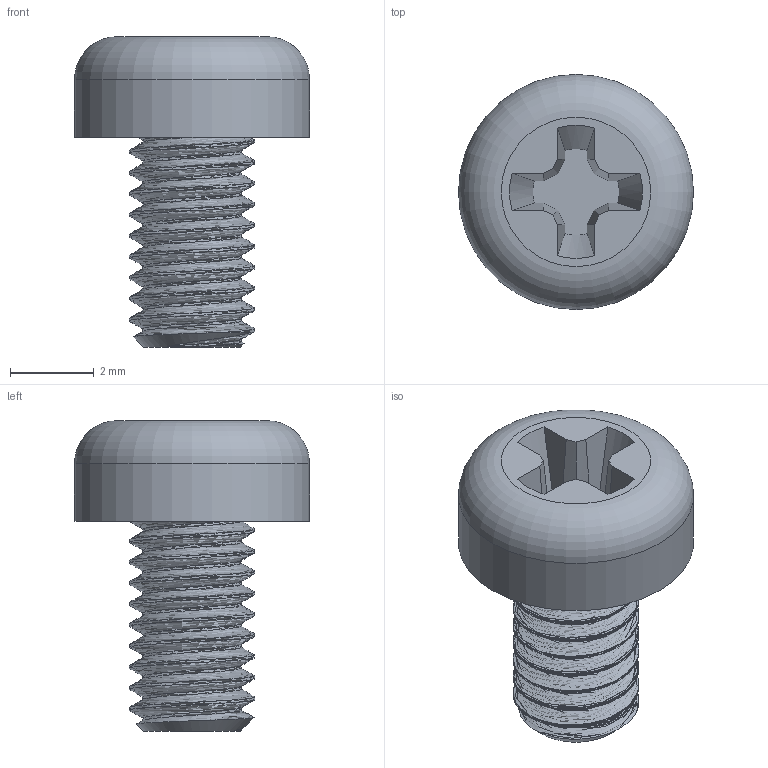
import cadquery as cq
import math

HEAD_DIAMETER = 5.6
HEAD_HEIGHT = 2.4
HEAD_ROUNDING = 1.02

THREAD_DIAMETER = 3.0
SHANK_LENGTH = 5.0
PITCH = 0.5
FLANK_ANGLE = 60.0
TIP_RADIUS = 1.15
CREST_HEIGHT = 0.66

RECESS_DEPTH = 2.0
MOUTH_RADIUS = 1.585
FLOOR_RADIUS = 1.03
MOUTH_HALF_WIDTH = 0.445
FLOOR_HALF_WIDTH = 0.267
MOUTH_CORNER = 0.548
FLOOR_CORNER = 0.43
ARM_ROOT = 0.775
ARM_COUNT = 4

FLAT_SHARE = 1 / 8
FLANK_SHARE = 1 / 2 - FLAT_SHARE
FLANK_SLOPE = math.tan(math.radians(FLANK_ANGLE / 2))
THREAD_DEPTH = FLANK_SHARE * PITCH / FLANK_SLOPE
CREST_RADIUS = THREAD_DIAMETER / 2
ROOT_RADIUS = CREST_RADIUS - THREAD_DEPTH
FLANK_SPLINE_STEPS = 8


def polar(radius, degrees):
    angle = math.radians(degrees)
    return radius * math.cos(angle), radius * math.sin(angle)


def flank_spiral(start_radius, end_radius, start_angle, end_angle):
    """Points of an Archimedean spiral, leaving out its first point."""
    points = []
    for step in range(1, FLANK_SPLINE_STEPS + 1):
        share = step / FLANK_SPLINE_STEPS
        radius = start_radius + share * (end_radius - start_radius)
        points.append(polar(radius, start_angle + share * (end_angle - start_angle)))
    return points


def make_head():
    head = cq.Workplane("XY").circle(HEAD_DIAMETER / 2).extrude(HEAD_HEIGHT)
    return head.faces(">Z").edges().fillet(HEAD_ROUNDING)


def make_threaded_rod():
    """Twist the thread's flat cross-section: crest arc, spiral, root arc, spiral."""
    crest_angle = 180 - 360 * CREST_HEIGHT / PITCH
    root_angle = crest_angle + 180
    half_flat = 360 * FLAT_SHARE / 2
    crest_start = crest_angle - half_flat
    crest_end = crest_angle + half_flat
    root_start = root_angle - half_flat
    root_end = root_angle + half_flat

    section = cq.Workplane("XY").workplane(offset=-SHANK_LENGTH)
    section = section.moveTo(*polar(CREST_RADIUS, crest_start))
    section = section.threePointArc(polar(CREST_RADIUS, crest_angle), polar(CREST_RADIUS, crest_end))
    falling = flank_spiral(CREST_RADIUS, ROOT_RADIUS, crest_end, root_start)
    section = section.spline(falling, includeCurrent=True)
    section = section.threePointArc(polar(ROOT_RADIUS, root_angle), polar(ROOT_RADIUS, root_end))
    rising = flank_spiral(ROOT_RADIUS, CREST_RADIUS, root_end, crest_start + 360)
    section = section.spline(rising, includeCurrent=True).close()
    return section.twistExtrude(SHANK_LENGTH, 360 * SHANK_LENGTH / PITCH)


def make_shank():
    """Trim the threaded rod with a 45 degree cone at the tip."""
    envelope_radius = HEAD_DIAMETER / 2
    cone_height = envelope_radius - TIP_RADIUS
    envelope = cq.Workplane("XZ").polyline([
        (0, -SHANK_LENGTH),
        (TIP_RADIUS, -SHANK_LENGTH),
        (envelope_radius, cone_height - SHANK_LENGTH),
        (envelope_radius, 0),
        (0, 0),
    ]).close().revolve()
    return make_threaded_rod().intersect(envelope)


def draw_cross(plane, radius, half_width, corner):
    """Draw a cross with arc-shaped arm ends and a point between neighbouring arms."""
    arm_end = math.sqrt(radius**2 - half_width**2)
    outline = plane.moveTo(arm_end, -half_width)
    for arm in range(ARM_COUNT):
        angle = math.radians(360 * arm / ARM_COUNT)

        def turned(x, y):
            return (x * math.cos(angle) - y * math.sin(angle),
                    x * math.sin(angle) + y * math.cos(angle))

        outline = outline.threePointArc(turned(radius, 0), turned(arm_end, half_width))
        outline = outline.lineTo(*turned(ARM_ROOT, half_width))
        outline = outline.lineTo(*turned(corner, corner))
        outline = outline.lineTo(*turned(half_width, ARM_ROOT))
        if arm < ARM_COUNT - 1:
            outline = outline.lineTo(*turned(half_width, arm_end))
    return outline.close()


def make_recess():
    mouth_plane = cq.Workplane("XY").workplane(offset=HEAD_HEIGHT)
    mouth = draw_cross(mouth_plane, MOUTH_RADIUS, MOUTH_HALF_WIDTH, MOUTH_CORNER)
    floor_plane = mouth.workplane(offset=-RECESS_DEPTH)
    floor = draw_cross(floor_plane, FLOOR_RADIUS, FLOOR_HALF_WIDTH, FLOOR_CORNER)
    return floor.loft(ruled=True)


result = make_head().cut(make_recess()).union(make_shank())